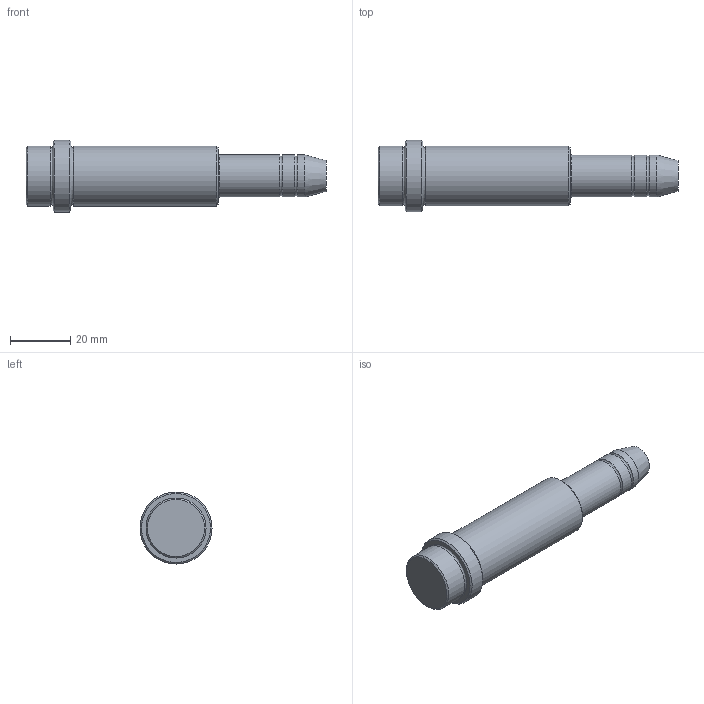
import cadquery as cq
import math

total_length = 100.0
head_radius = 20.0 / 2
collar_radius = 24.0 / 2
body_radius = 20.0 / 2
tail_radius = 14.0 / 2

collar_start = 9.0
collar_width = 6.0
collar_end = collar_start + collar_width
body_end = 64.0

edge_chamfer = 0.5
tail_root_fillet = 0.5

groove_radius = 0.5
tail_groove_starts = (84.5, 89.5)

cone_length = 7.0
cone_angle = math.radians(15.0)
tip_radius = tail_radius - cone_length * math.tan(cone_angle)


def draw_groove(profile, start, shaft_radius):
    """Half-round groove sunk into a shaft, beginning at the given station."""
    bottom = (start + groove_radius, shaft_radius - groove_radius)
    end = (start + 2 * groove_radius, shaft_radius)
    return profile.lineTo(start, shaft_radius).threePointArc(bottom, end)


def draw_head(profile):
    """Chamfered head, ending with the groove in front of the collar."""
    profile = profile.lineTo(0, head_radius - edge_chamfer).lineTo(edge_chamfer, head_radius)
    return draw_groove(profile, collar_start - 2 * groove_radius, head_radius)


def draw_collar(profile):
    """Collar with both rims chamfered."""
    return (
        profile.lineTo(collar_start, collar_radius - edge_chamfer)
        .lineTo(collar_start + edge_chamfer, collar_radius)
        .lineTo(collar_end - edge_chamfer, collar_radius)
        .lineTo(collar_end, collar_radius - edge_chamfer)
    )


def draw_body(profile):
    """Groove behind the collar, then the main cylinder with a chamfered end."""
    return (
        draw_groove(profile, collar_end, body_radius)
        .lineTo(body_end - edge_chamfer, body_radius)
        .lineTo(body_end, body_radius - edge_chamfer)
    )


def draw_tail(profile):
    """Thin tail with a filleted root, two grooves and a conical end."""
    profile = profile.lineTo(body_end, tail_radius + tail_root_fillet)
    profile = profile.radiusArc((body_end + tail_root_fillet, tail_radius), -tail_root_fillet)
    for groove_start in tail_groove_starts:
        profile = draw_groove(profile, groove_start, tail_radius)
    return (
        profile.lineTo(total_length - cone_length, tail_radius)
        .lineTo(total_length, tip_radius)
        .lineTo(total_length, 0)
    )


half_profile = cq.Workplane("XZ")
for draw_section in (draw_head, draw_collar, draw_body, draw_tail):
    half_profile = draw_section(half_profile)

result = half_profile.close().revolve(360, (0, 0, 0), (1, 0, 0))